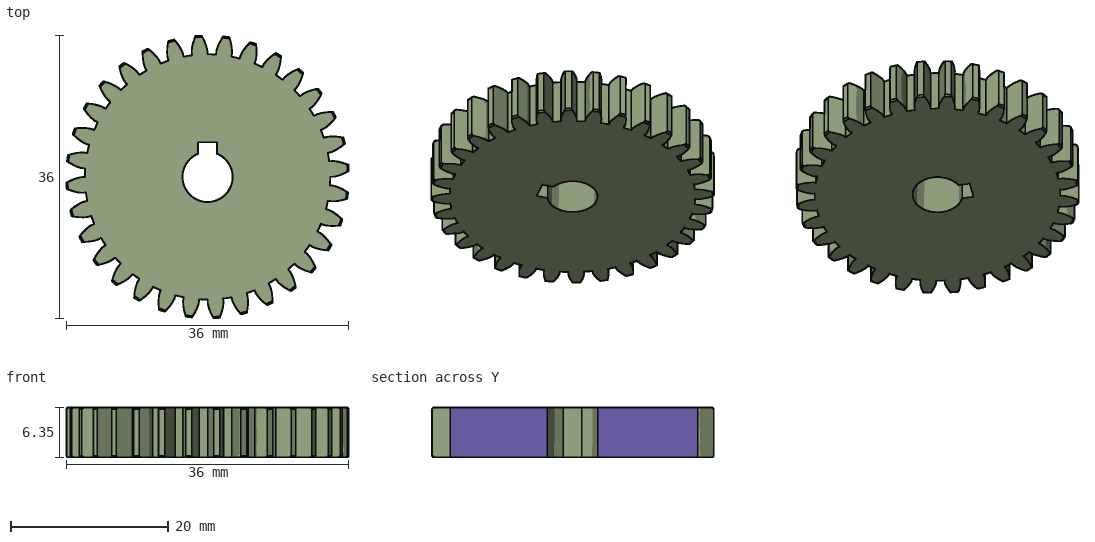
import cadquery as cq
import math

MM_PER_INCH = 25.4
TOOTH_COUNT = 32
DIAMETRAL_PITCH = 24
PRESSURE_ANGLE = math.radians(20)
DEDENDUM_FACTOR = 1.25
FACE_WIDTH = 0.25 * MM_PER_INCH
TIP_CHAMFER = 0.2

BORE_DIAMETER = 0.25 * MM_PER_INCH
KEYWAY_WIDTH = 2.4
KEYWAY_TOP = 4.4

MODULE = MM_PER_INCH / DIAMETRAL_PITCH
PITCH_RADIUS = MODULE * TOOTH_COUNT / 2
BASE_RADIUS = PITCH_RADIUS * math.cos(PRESSURE_ANGLE)
TIP_RADIUS = PITCH_RADIUS + MODULE
ROOT_RADIUS = PITCH_RADIUS - DEDENDUM_FACTOR * MODULE

TOOTH_PITCH_ANGLE = 2 * math.pi / TOOTH_COUNT
INVOLUTE_AT_PITCH = math.tan(PRESSURE_ANGLE) - PRESSURE_ANGLE
BASE_TOOTH_ANGLE = TOOTH_PITCH_ANGLE / 2 + 2 * INVOLUTE_AT_PITCH

FLANK_POINTS = 6


def polar(radius, angle):
    return (radius * math.cos(angle), radius * math.sin(angle))


def involute_points():
    """(radius, angle) pairs along one flank, from the base circle to the tip."""
    tip_roll = math.sqrt((TIP_RADIUS / BASE_RADIUS) ** 2 - 1)
    points = []
    for i in range(FLANK_POINTS):
        roll = tip_roll * i / (FLANK_POINTS - 1)
        points.append((BASE_RADIUS * math.hypot(1, roll), roll - math.atan(roll)))
    return points


def gear_outline():
    """Closed outline of all teeth; the first flank leaves the base circle on +X."""
    flank = involute_points()
    tip_offset = flank[-1][1]
    outline = cq.Workplane("XY").moveTo(*polar(ROOT_RADIUS, 0))
    for tooth in range(TOOTH_COUNT):
        start = tooth * TOOTH_PITCH_ANGLE
        end = start + BASE_TOOTH_ANGLE
        middle = (start + end) / 2
        next_start = start + TOOTH_PITCH_ANGLE
        rising = [polar(radius, start + offset) for radius, offset in flank]
        falling = [polar(radius, end - offset) for radius, offset in reversed(flank)]
        outline = outline.lineTo(*rising[0])
        outline = outline.spline(rising[1:], includeCurrent=True)
        outline = outline.threePointArc(polar(TIP_RADIUS, middle), polar(TIP_RADIUS, end - tip_offset))
        outline = outline.spline(falling[1:], includeCurrent=True)
        outline = outline.lineTo(*polar(ROOT_RADIUS, end))
        outline = outline.threePointArc(
            polar(ROOT_RADIUS, (end + next_start) / 2),
            polar(ROOT_RADIUS, next_start),
        )
    return outline.close()


def chamfered_blank():
    """Disc whose chamfered rims bevel the tooth tips."""
    return cq.Workplane("XY").circle(TIP_RADIUS).extrude(FACE_WIDTH).edges().chamfer(TIP_CHAMFER)


def keyed_bore():
    """Through bore with a rectangular keyway towards +Y."""
    bore = cq.Workplane("XY").circle(BORE_DIAMETER / 2).extrude(FACE_WIDTH)
    keyway = cq.Workplane("XY").box(
        KEYWAY_WIDTH, KEYWAY_TOP, FACE_WIDTH, centered=(True, False, False)
    )
    return bore.union(keyway)


teeth = gear_outline().extrude(FACE_WIDTH)
result = teeth.intersect(chamfered_blank()).cut(keyed_bore())